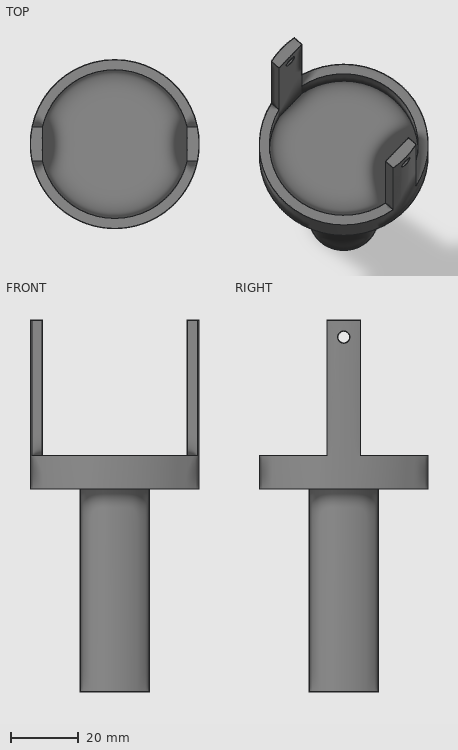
import cadquery as cq
import math

stem_diameter = 20.5
stem_length = 60.0

cup_diameter = 50.0
cup_height = 10.0
cup_wall = 3.0
cup_floor = 3.0

arm_width = 10.0
arm_height = 40.0

pin_hole_diameter = 3.5
pin_hole_drop = 5.0

cavity_radius = cup_diameter / 2 - cup_wall
floor_top = stem_length + cup_floor
cup_top = stem_length + cup_height
part_top = cup_top + arm_height
arm_inner_x = math.sqrt(cavity_radius**2 - (arm_width / 2) ** 2)


def cylinder(radius, bottom, top):
    """Upright cylinder on the Z axis, turned so its seam line stays clear of the arms."""
    body = cq.Workplane("XY").workplane(offset=bottom).circle(radius).extrude(top - bottom)
    return body.rotate((0, 0, 0), (0, 0, 1), 90)


def make_stem():
    return cylinder(stem_diameter / 2, 0, stem_length)


def make_cup():
    """Round dish with a flat floor."""
    cavity = cylinder(cavity_radius, floor_top, cup_top)
    return cylinder(cup_diameter / 2, stem_length, cup_top).cut(cavity)


def make_arms():
    """Two bars with flat inner faces and outer faces following the round side of the cup."""
    slab_length = part_top - floor_top
    base = cq.Workplane("XY").workplane(offset=floor_top)
    slab = base.rect(cup_diameter, arm_width).extrude(slab_length)
    gap = base.rect(2 * arm_inner_x, arm_width).extrude(slab_length)
    return slab.cut(gap).intersect(cylinder(cup_diameter / 2, floor_top, part_top))


def make_pin_holes():
    """One long rod along X that pierces both arms near their tops."""
    return (
        cq.Workplane("YZ")
        .center(0, part_top - pin_hole_drop)
        .circle(pin_hole_diameter / 2)
        .extrude(cup_diameter / 2, both=True)
    )


result = make_stem().union(make_cup()).union(make_arms()).cut(make_pin_holes())